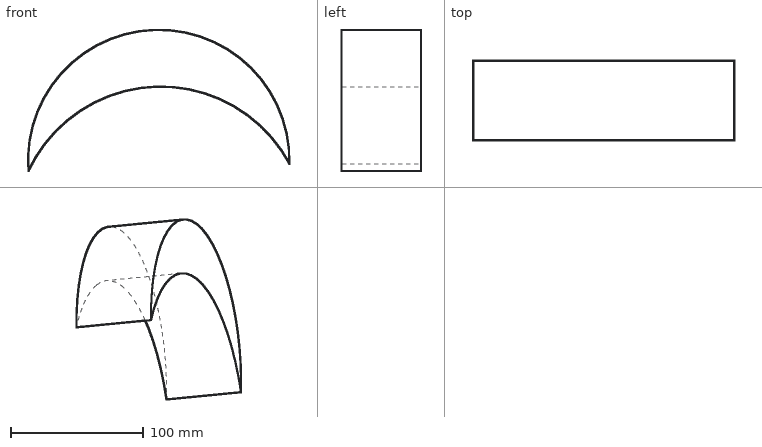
import cadquery as cq
import math

outer_radius = 98.8
width = 60.0
left_tip_drop = 8.1
right_tip_drop = 2.5
inner_rise = 61.0


def tip_reach(drop):
    """Horizontal distance from the outer centre to a tip on the outer arc."""
    return math.sqrt(outer_radius**2 - drop**2)


left_tip = cq.Vector(-tip_reach(left_tip_drop), -left_tip_drop)
right_tip = cq.Vector(tip_reach(right_tip_drop), -right_tip_drop)
outer_top = cq.Vector(0, outer_radius)

chord = (right_tip - left_tip).normalized()
chord_normal = cq.Vector(-chord.y, chord.x)
inner_middle = (left_tip + right_tip) * 0.5 + chord_normal * inner_rise

result = (
    cq.Workplane("XZ")
    .moveTo(left_tip.x, left_tip.y)
    .threePointArc(outer_top.toTuple()[:2], right_tip.toTuple()[:2])
    .threePointArc(inner_middle.toTuple()[:2], left_tip.toTuple()[:2])
    .close()
    .extrude(width / 2, both=True)
)